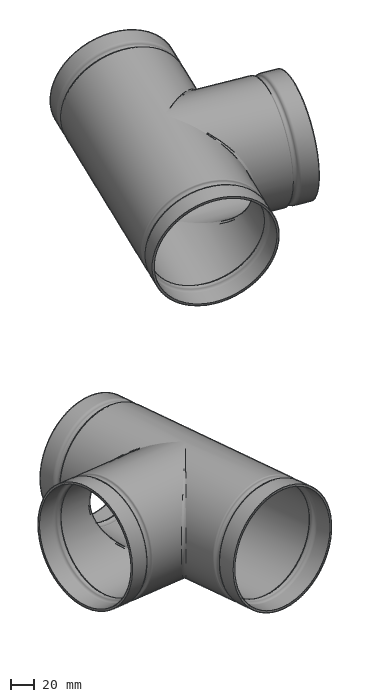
import cadquery as cq
import math


run_length = 233.2
branch_reach = 116.5
pipe_diameter = 114.3
bore_diameter = 110.3
groove_diameter = 109.0
bead_diameter = 104.7
crotch_radius = 3.0

lip_length = 15.5
floor_start = 20.0
floor_end = 20.8
groove_end = 24.5

outer_lip_share = 0.6
inner_lip_share = 0.6
outer_pipe_share = 0.4
inner_pipe_share = 0.1

ball_oversize = 1.005

wedge_height_share = 0.995
wedge_start_share = 0.05
wedge_side_trim = 0.02

half_run = run_length / 2
pipe_radius = pipe_diameter / 2
bore_radius = bore_diameter / 2
wall = pipe_radius - bore_radius
groove_radius = groove_diameter / 2
bead_radius = bead_diameter / 2


def point_between(start, end, share):
    """Point on the straight line from start to end, at the given share of its length."""
    return tuple(a + share * (b - a) for a, b in zip(start, end))


def flank(outline, start, end, first_share):
    """Add a straight up to start, then an S-bend of two tangent arcs that ends at end."""
    middle = point_between(start, end, first_share)
    outline = outline.lineTo(*start).tangentArcPoint(middle, relative=False)
    return outline.tangentArcPoint(end, relative=False)


def grooved_end():
    """Pipe end along +X with its open face at the YZ plane, revolved from its wall section."""
    section = cq.Workplane("XY").moveTo(0, pipe_radius)
    section = flank(section, (lip_length, pipe_radius), (floor_start, groove_radius), outer_lip_share)
    section = flank(section, (floor_end, groove_radius), (groove_end, pipe_radius), 1 - outer_pipe_share)
    bead_end = groove_end + wall / 2
    section = section.lineTo(bead_end, pipe_radius).lineTo(bead_end, bore_radius)
    section = flank(section, (groove_end, bore_radius), (floor_end, bead_radius), inner_pipe_share)
    section = flank(section, (floor_start, bead_radius), (lip_length, bore_radius), 1 - inner_lip_share)
    section = section.lineTo(0, bore_radius).close()
    return section.revolve(360, (0, 0), (1, 0))


def crotch_fillet(radius, fillet_radius):
    """Fillet in the +X crotch of two equal crossing cylinders.

    A ball touching both cylinders keeps its centre on an ellipse in the plane x = y, and touches
    each cylinder along a plane through the Z axis. The fillet is the wedge between those two
    planes, less the tube swept by the ball.
    """
    ball_reach = radius + fillet_radius
    ellipse_reach = math.sqrt(2) * ball_reach
    diagonal = cq.Plane(origin=(0, 0, 0), xDir=(1, 1, 0), normal=(1, -1, 0))
    ball_path = cq.Workplane(diagonal).ellipseArc(
        ellipse_reach, ball_reach, -90, 90, startAtCurrent=False
    )
    path_start = cq.Plane(origin=(0, 0, -ball_reach), xDir=(0, 0, 1), normal=(1, 1, 0))
    ball_tube = cq.Workplane(path_start).circle(ball_oversize * fillet_radius).sweep(ball_path)

    side = radius + wedge_side_trim * fillet_radius
    half_height = wedge_height_share * radius
    wedge = (
        cq.Workplane("XY")
        .polyline([
            (wedge_start_share * ball_reach, wedge_start_share * side),
            (ball_reach, side),
            (ball_reach, ball_reach),
            (side, ball_reach),
            (wedge_start_share * side, wedge_start_share * ball_reach),
        ])
        .close()
        .extrude(half_height, both=True)
    )
    inside_ball_path = (
        cq.Workplane(diagonal).ellipse(ellipse_reach, ball_reach).extrude(fillet_radius * 4, both=True)
    )
    return wedge.intersect(inside_ball_path).cut(ball_tube)


def solid_tee(radius, fillet_radius, half_length, reach):
    """Solid run and branch of one radius, filleted in both crotches."""
    run = cq.Workplane("YZ").circle(radius).extrude(half_length, both=True)
    branch = cq.Workplane("XZ").circle(radius).extrude(-reach)
    fillet = crotch_fillet(radius, fillet_radius)
    return run.union(branch).union(fillet).union(fillet.mirror("YZ"))


end_length = groove_end + wall / 2
middle_half_length = half_run - end_length
middle_reach = branch_reach - end_length
body = solid_tee(pipe_radius, crotch_radius, middle_half_length, middle_reach)
body = body.cut(solid_tee(bore_radius, crotch_radius + wall, middle_half_length, middle_reach))

left_end = grooved_end().translate((-half_run, 0, 0))
right_end = left_end.mirror("YZ")
branch_end = grooved_end().rotate((0, 0, 0), (0, 0, 1), -90).translate((0, branch_reach, 0))

result = body.union(left_end).union(right_end).union(branch_end).clean()